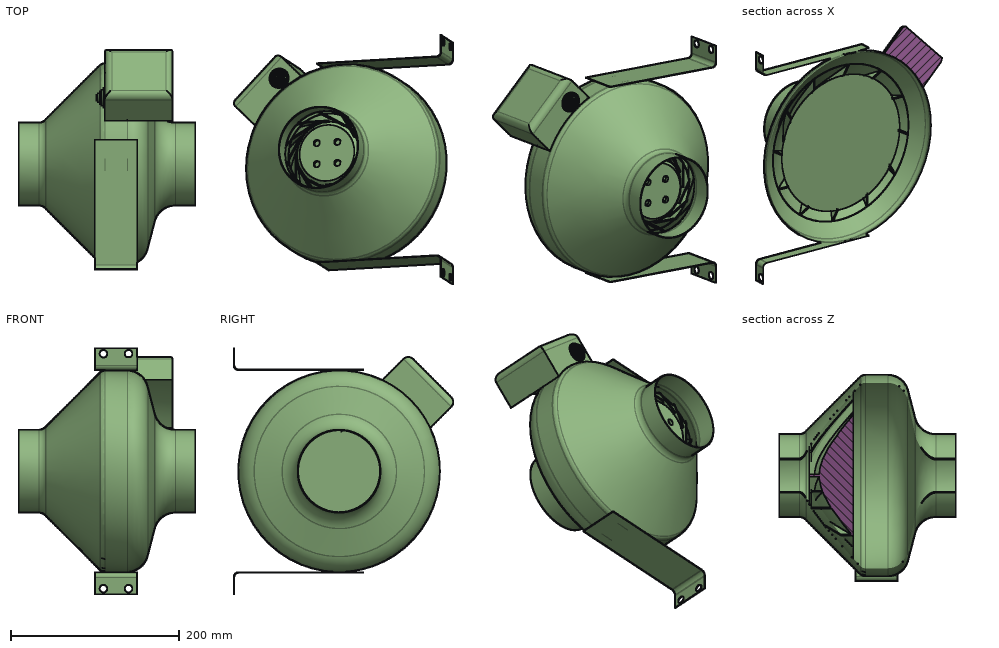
import cadquery as cq
import math


overall_length = 210.0
inlet_end_x = -overall_length / 2
wall = 1.0
pipe_radius = 49.5
pipe_length = 23.7
drum_radius = 120.0
drum_start_x = -2.5
drum_length = 26.7
cone_angle = 45.0
inlet_bend_radius = 10.8
rim_radius = 8.8
shoulder_angle = 75.0
shoulder_radius = 25.2

box_size = 80.5
box_top = 156.8
box_edge_radius = 8.2
box_tilt = 45.0
box_root = drum_radius / 2

gland_step_radii = [11.7, 9.7, 7.5, 5.5, 3.5]
gland_step_height = 2.0
gland_bore_radius = 1.5
gland_height = gland_step_height * len(gland_step_radii)
gland_distance = 131.8
gland_offset = box_size / 4

impeller_front_x = -69.5
impeller_length = 52.7
nose_radius = 34.0
blade_circle_radius = 38.7
backplate_step = 1.0
shroud_radius = 48.0
shroud_wall = 0.5
shroud_setback = 2.3
blade_count = 12
blade_thickness = 1.8
blade_overhang = 1.5
screw_hole_spacing = 25.5
screw_hole_radius = 3.8
screw_hole_depth = 4.5

bracket_width = 50.0
bracket_thickness = 1.0
bracket_bend_radius = 6.0
bracket_front_y = -125.5
bracket_back_y = 29.0
bracket_height = 146.5
bracket_center_x = drum_start_x + drum_length / 2
bracket_hole_radius = 4.5
bracket_hole_spacing = 30.0
bracket_hole_edge = 6.7


def revolved(profile):
    """Full revolution of an X-Y profile about the air axis."""
    return profile.close().revolve(360, (0, 0, 0), (1, 0, 0))


def bend_point(tangent_point, radius, angle, side):
    """Point on an arc that leaves tangent_point along X and curves outwards (+1) or inwards (-1)."""
    x, r = tangent_point
    return x + radius * math.sin(angle), r + side * radius * (1 - math.cos(angle))


def housing_body(inset):
    """Solid of revolution inside the housing's outer surface, moved inwards by inset."""
    cone = math.radians(cone_angle)
    shoulder = math.radians(shoulder_angle)
    inlet_bend = inlet_bend_radius + inset
    rim_bend = rim_radius - inset
    shoulder_bend = shoulder_radius - inset
    outlet_bend = shoulder_radius + inset
    pipe = pipe_radius - inset
    drum = drum_radius - inset
    outlet_end_x = inlet_end_x + overall_length
    drum_end_x = drum_start_x + drum_length

    rim_start = bend_point((drum_start_x, drum), rim_bend, -cone, -1)
    rim_mid = bend_point((drum_start_x, drum), rim_bend, -cone / 2, -1)
    shoulder_mid = bend_point((drum_end_x, drum), shoulder_bend, shoulder / 2, -1)
    shoulder_end = bend_point((drum_end_x, drum), shoulder_bend, shoulder, -1)

    inlet_bend_x = inlet_end_x + pipe_length
    inlet_mid = bend_point((inlet_bend_x, pipe), inlet_bend, cone / 2, 1)
    inlet_end = bend_point((inlet_bend_x, pipe), inlet_bend, cone, 1)
    outlet_bend_x = outlet_end_x - pipe_length
    outlet_mid = bend_point((outlet_bend_x, pipe), outlet_bend, -shoulder / 2, 1)
    outlet_start = bend_point((outlet_bend_x, pipe), outlet_bend, -shoulder, 1)

    profile = (
        cq.Workplane("XY")
        .moveTo(inlet_end_x, 0)
        .lineTo(inlet_end_x, pipe)
        .lineTo(inlet_bend_x, pipe)
        .threePointArc(inlet_mid, inlet_end)
        .lineTo(*rim_start)
        .threePointArc(rim_mid, (drum_start_x, drum))
        .lineTo(drum_end_x, drum)
        .threePointArc(shoulder_mid, shoulder_end)
        .lineTo(*outlet_start)
        .threePointArc(outlet_mid, (outlet_bend_x, pipe))
        .lineTo(outlet_end_x, pipe)
        .lineTo(outlet_end_x, 0)
    )
    return revolved(profile)


def terminal_box():
    """Box with rounded lid edges and a cable gland, its underside following the drum radius."""
    box_center_x = drum_start_x + box_size / 2
    box = (
        cq.Workplane("XY", origin=(box_center_x, 0, box_root))
        .rect(box_size, box_size)
        .extrude(box_top - box_root)
        .faces(">Z")
        .edges()
        .fillet(box_edge_radius)
    )
    drum = cq.Workplane("YZ", origin=(drum_start_x, 0, 0)).circle(drum_radius).extrude(box_size)
    box = box.cut(drum)
    for step, radius in enumerate(gland_step_radii):
        step_height = (step + 1) * gland_step_height
        disc = gland_plane().circle(radius).extrude(-step_height)
        box = box.union(disc)
    box = box.cut(gland_plane().circle(gland_bore_radius).extrude(-gland_height))
    return box.rotate((0, 0, 0), (1, 0, 0), -box_tilt)


def gland_plane():
    """Workplane on the inlet side of the upright box, centred on the cable gland."""
    return cq.Workplane("YZ", origin=(drum_start_x, -gland_offset, gland_distance))


def make_housing():
    """Housing shell with the terminal box on its drum."""
    shell = housing_body(0).cut(housing_body(wall))
    return shell.union(terminal_box())


def cone_between(front_x, front_radius, length):
    """Solid 45 degree frustum that widens towards the outlet."""
    profile = (
        cq.Workplane("XY")
        .moveTo(front_x, 0)
        .lineTo(front_x, front_radius)
        .lineTo(front_x + length, front_radius + length)
        .lineTo(front_x + length, 0)
    )
    return revolved(profile)


def make_impeller():
    """Conical hub, straight blades tangent to the blade circle, and a conical shroud."""
    hub = cone_between(impeller_front_x, nose_radius, impeller_length)
    hub = hub.cut(backplate_recess())

    shroud_x = impeller_front_x + shroud_setback
    shroud_length = impeller_length - shroud_setback
    passage = cone_between(shroud_x, shroud_radius, shroud_length)
    shroud = cone_between(shroud_x, shroud_radius + shroud_wall, shroud_length).cut(passage)

    blade_tip_radius = shroud_radius + shroud_wall / 2
    blade_fronts = (
        cq.Workplane("YZ", origin=(impeller_front_x, 0, 0)).circle(blade_tip_radius).extrude(shroud_setback)
    )
    blade_space = cone_between(shroud_x, blade_tip_radius, shroud_length).union(blade_fronts)
    blade_length = blade_overhang + shroud_radius + impeller_length
    blade = (
        cq.Workplane("XY", origin=(impeller_front_x, -blade_overhang, blade_circle_radius))
        .box(impeller_length, blade_length, blade_thickness, centered=(False, False, True))
        .intersect(blade_space)
    )
    impeller = hub.union(shroud)
    for index in range(blade_count):
        angle = index * 360 / blade_count
        impeller = impeller.union(blade.rotate((0, 0, 0), (1, 0, 0), angle))

    screw_holes = (
        cq.Workplane("YZ", origin=(impeller_front_x, 0, 0))
        .rect(screw_hole_spacing, screw_hole_spacing, forConstruction=True)
        .vertices()
        .circle(screw_hole_radius)
        .extrude(screw_hole_depth)
    )
    return impeller.cut(screw_holes)


def backplate_recess():
    """Skin removed from the hub outside the blade circle, which leaves a small step there."""
    outer = cone_between(impeller_front_x, nose_radius, impeller_length)
    inner = cone_between(impeller_front_x + backplate_step, nose_radius, impeller_length)
    core = (
        cq.Workplane("YZ", origin=(impeller_front_x, 0, 0))
        .circle(blade_circle_radius)
        .extrude(impeller_length)
    )
    return outer.cut(inner).cut(core)


def make_bracket():
    """Upper bracket: a strip lying on the drum, bent up into a flange with two holes."""
    bracket = (
        cq.Workplane("YZ", origin=(bracket_center_x - bracket_width / 2, 0, 0))
        .moveTo(bracket_back_y, drum_radius)
        .lineTo(bracket_front_y, drum_radius)
        .lineTo(bracket_front_y, bracket_height)
        .lineTo(bracket_front_y + bracket_thickness, bracket_height)
        .lineTo(bracket_front_y + bracket_thickness, drum_radius + bracket_thickness)
        .lineTo(bracket_back_y, drum_radius + bracket_thickness)
        .close()
        .extrude(bracket_width)
    )
    inner_corner = cq.selectors.NearestToPointSelector(
        (bracket_center_x, bracket_front_y + bracket_thickness, drum_radius + bracket_thickness)
    )
    outer_corner = cq.selectors.NearestToPointSelector((bracket_center_x, bracket_front_y, drum_radius))
    bracket = bracket.edges(inner_corner).fillet(bracket_bend_radius - bracket_thickness)
    bracket = bracket.edges(outer_corner).fillet(bracket_bend_radius)
    holes = (
        cq.Workplane("XZ", origin=(bracket_center_x, 0, bracket_height - bracket_hole_edge))
        .pushPoints([(-bracket_hole_spacing / 2, 0), (bracket_hole_spacing / 2, 0)])
        .circle(bracket_hole_radius)
        .extrude(-2 * bracket_front_y)
    )
    return bracket.cut(holes)


housing = make_housing()
impeller = make_impeller()
upper_bracket = make_bracket()
lower_bracket = upper_bracket.mirror("XY")

bodies = [housing, impeller, upper_bracket, lower_bracket]
result = cq.Compound.makeCompound([body.solids().val() for body in bodies])